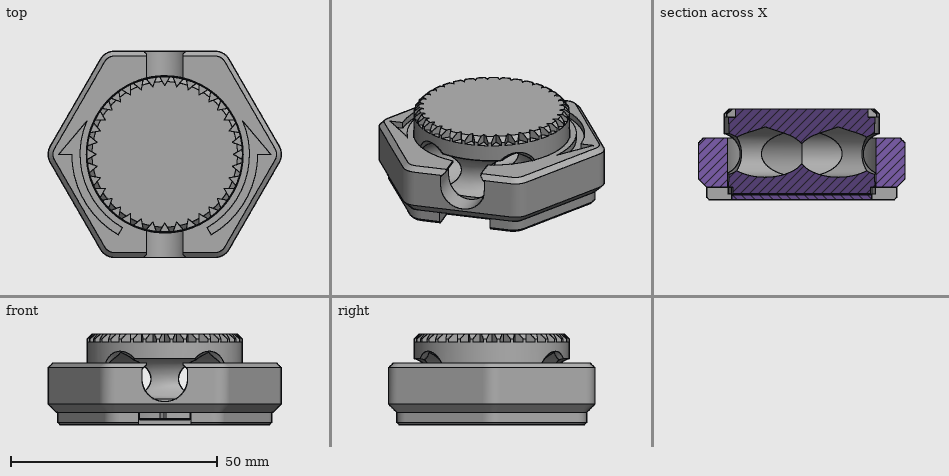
import cadquery as cq
import math

housing_flats = 50.0
corner_radius = 4.0
base_height = 3.0
housing_top = 15.0
top_chamfer = 1.2
bottom_chamfer = 2.0
base_chamfer = 0.6
base_floor = 1.25

bore_diameter = 38.0
knob_diameter = 37.6
spigot_diameter = 35.6
pocket_diameter = 36.0
knob_bottom = 1.4
knob_top = 22.0
knob_chamfer = 1.2

cord_axis_z = 11.1
channel_radius = 5.5
neck_half_width = 4.36
neck_bottom_z = 14.6

tunnel_angle = 35.0
tunnel_radius = 5.6
roof_slope = 30.0
mouth_radius = 6.7
mouth_depth = 1.2
rim_groove_radius = 5.05
rim_groove_ring = 20.0

notch_count = 36
notch_floor_z = 20.0
notch_tip_radius = 16.6
notch_length = 4.0
notch_half_angle = 30.0

index_notch_left = -1.1
index_notch_peak = -0.17
index_notch_right = 0.26
index_notch_depth = 0.7
index_notch_short_depth = 0.3

arrow_inner_radius = 20.5
arrow_outer_radius = 22.5
arrow_barb_radius = 25.66
arrow_tip_angle = 23.2
arrow_tail_angle = -60.0
arrow_depth = 1.5

base_opening_width = 12.7
base_opening_inner_y = 16.95

base_flats = housing_flats - 2 * bottom_chamfer
knob_radius = knob_diameter / 2
spigot_radius = spigot_diameter / 2


def rounded_hexagon(flats, bottom_z, height):
    """Hexagonal prism with rounded corners and two flats facing -Y and +Y."""
    corner_to_corner = flats / math.cos(math.radians(30))
    prism = cq.Workplane("XY").workplane(offset=bottom_z).polygon(6, corner_to_corner).extrude(height)
    return prism.edges("|Z").fillet(corner_radius)


def polar(radius, angle):
    """Point in the XY plane, with the angle in degrees from +X."""
    turn = math.radians(angle)
    return (radius * math.cos(turn), radius * math.sin(turn))


def cord_channel():
    """Keyhole-shaped channel along Y, open at the top of the housing."""
    shoulder_z = neck_bottom_z - (channel_radius - neck_half_width)
    profile = (
        cq.Workplane("XZ")
        .moveTo(-channel_radius, shoulder_z)
        .lineTo(-channel_radius, cord_axis_z)
        .threePointArc((0, cord_axis_z - channel_radius), (channel_radius, cord_axis_z))
        .lineTo(channel_radius, shoulder_z)
        .lineTo(neck_half_width, neck_bottom_z)
        .lineTo(neck_half_width, housing_top)
        .lineTo(-neck_half_width, housing_top)
        .lineTo(-neck_half_width, neck_bottom_z)
        .close()
    )
    return profile.extrude(housing_flats / 2, both=True)


def rotation_arrow():
    """Curved arrow on the +X side, pointing towards +Y."""
    middle_angle = arrow_tail_angle / 2
    return (
        cq.Workplane("XY")
        .workplane(offset=housing_top - arrow_depth)
        .moveTo(*polar(arrow_inner_radius, arrow_tip_angle))
        .threePointArc(
            polar(arrow_inner_radius, middle_angle),
            polar(arrow_inner_radius, arrow_tail_angle),
        )
        .lineTo(*polar(arrow_outer_radius, arrow_tail_angle))
        .threePointArc(polar(arrow_outer_radius, middle_angle), (arrow_outer_radius, 0))
        .lineTo(arrow_barb_radius, 0)
        .close()
        .extrude(arrow_depth)
    )


def make_housing():
    body = rounded_hexagon(housing_flats, base_height, housing_top - base_height)
    body = body.faces(">Z").chamfer(top_chamfer)
    body = body.faces("<Z").chamfer(bottom_chamfer)
    bore = cq.Workplane("XY").circle(bore_diameter / 2).extrude(housing_top)
    arrow = rotation_arrow()
    return body.cut(bore).cut(cord_channel()).cut(arrow).cut(arrow.mirror("YZ"))


def make_base():
    body = rounded_hexagon(base_flats, 0, base_height)
    body = body.faces("<Z").chamfer(base_chamfer)
    pocket = cq.Workplane("XY").workplane(offset=base_floor).circle(pocket_diameter / 2).extrude(base_height)
    body = body.cut(pocket)
    opening_length = base_flats / 2 - base_opening_inner_y
    openings = (
        cq.Workplane("XY")
        .pushPoints([(0, side * (base_opening_inner_y + opening_length / 2)) for side in (-1, 1)])
        .rect(base_opening_width, opening_length)
        .extrude(base_height)
    )
    return body.cut(openings)


def cord_tunnel(angle):
    """Tunnel through the knob axis, with a peaked roof and countersunk mouths; angle in degrees from Y."""
    slope = math.radians(roof_slope)
    eave_x = tunnel_radius * math.sin(slope)
    eave_z = tunnel_radius * math.cos(slope)
    tunnel = (
        cq.Workplane("XZ")
        .moveTo(-eave_x, eave_z)
        .threePointArc((0, -tunnel_radius), (eave_x, eave_z))
        .lineTo(0, tunnel_radius / math.cos(slope))
        .close()
        .extrude(knob_diameter / 2, both=True)
    )
    mouth = (
        cq.Workplane("XZ", origin=(0, mouth_depth - knob_radius, 0))
        .circle(tunnel_radius)
        .workplane(offset=2 * mouth_depth)
        .circle(2 * mouth_radius - tunnel_radius)
        .loft()
    )
    tunnel = tunnel.union(mouth).union(mouth.mirror("XZ"))
    return tunnel.translate((0, 0, cord_axis_z)).rotate((0, 0, 0), (0, 0, 1), angle)


def rim_groove():
    """Round groove in the knob rim on the +Y side, spanning the two tunnel mouths."""
    groove = (
        cq.Workplane("XZ")
        .center(rim_groove_ring, cord_axis_z)
        .circle(rim_groove_radius)
        .revolve(2 * tunnel_angle, (-rim_groove_ring, 0, 0), (-rim_groove_ring, 1, 0))
    )
    return groove.rotate((0, 0, 0), (0, 0, 1), 90 - tunnel_angle)


def grip_notches():
    """Ring of triangular notches, each pointing to the knob axis."""
    half_width = notch_length * math.tan(math.radians(notch_half_angle))
    outer_radius = notch_tip_radius + notch_length
    notch = (
        cq.Workplane("XY")
        .workplane(offset=notch_floor_z)
        .polyline([(notch_tip_radius, 0), (outer_radius, -half_width), (outer_radius, half_width)])
        .close()
        .extrude(knob_top - notch_floor_z)
        .val()
    )
    pitch = 360 / notch_count
    return [notch.rotate(cq.Vector(), cq.Vector(0, 0, 1), i * pitch) for i in range(notch_count)]


def index_notch():
    """Small notch in the spigot, on the -Y side."""
    surface_y = -spigot_radius
    outer_y = -knob_radius
    return (
        cq.Workplane("XY")
        .workplane(offset=knob_bottom)
        .polyline([
            (index_notch_left, outer_y),
            (index_notch_left, surface_y + index_notch_depth),
            (index_notch_peak, surface_y),
            (index_notch_right, surface_y + index_notch_short_depth),
            (index_notch_right, outer_y),
        ])
        .close()
        .extrude(base_height - knob_bottom)
    )


def make_knob():
    rim_plane = cq.Workplane("XY").workplane(offset=base_height)
    body = rim_plane.circle(knob_radius).extrude(knob_top - base_height)
    body = body.faces(">Z").chamfer(knob_chamfer)
    for angle in (-tunnel_angle, tunnel_angle):
        body = body.cut(cord_tunnel(angle))
    groove = rim_groove()
    body = body.cut(groove).cut(groove.mirror("XZ"))
    body = body.cut(cq.Workplane("XY").add(grip_notches()).combine())
    spigot = (
        cq.Workplane("XY")
        .workplane(offset=knob_bottom)
        .circle(spigot_radius)
        .extrude(base_height - knob_bottom)
    )
    return body.union(spigot.cut(index_notch()))


housing = make_housing()
base = make_base()
knob = make_knob()

result = cq.Compound.makeCompound([housing.val(), base.val(), knob.val()])